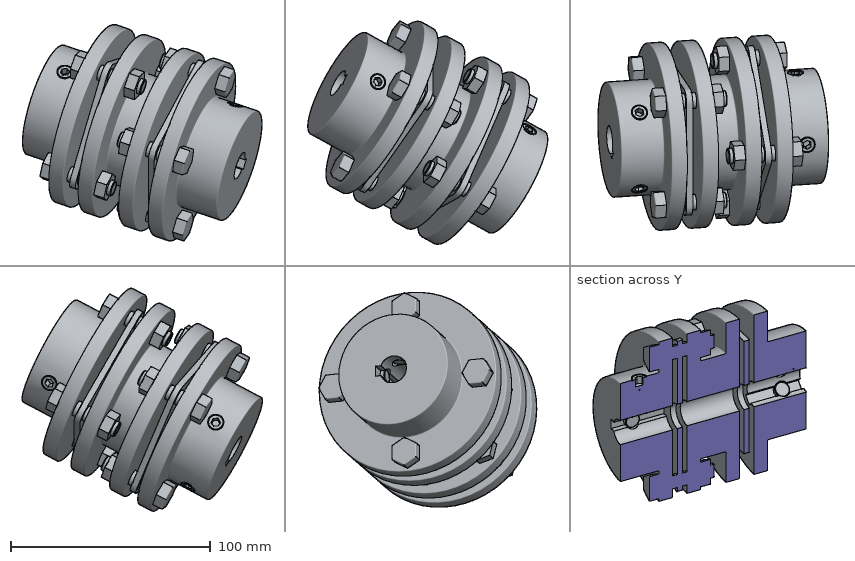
import cadquery as cq
import math

total_length = 106
spacer_length = 30.0
flange_thickness = 8.0
pack_gap = 8.1
half_length = total_length / 2
spacer_end = spacer_length / 2
hub_start = spacer_end + pack_gap
hub_flange_end = hub_start + flange_thickness
pack_center = spacer_end + pack_gap / 2

flange_radius = 94.0 / 2
hub_radius = 28.9
edge_fillet = 0.5
root_fillet = 0.5
bore_radius = 7.0

key_width = 5.2
key_reach = 9.3

bolt_count = 4
bolt_circle_radius = 38.0
bolt_radius = 8.0 / 2
hex_flats = 12.8
hex_height = 5.5
head_fillet = 0.5
bolt_overhang = 2.2
bolt_tip_chamfer = 0.4

pack_thickness = 3.2
pack_corner_radius = 6.3

screw_x = -(half_length + hub_flange_end) / 2
screw_radius = 4.0
screw_sink = 0.3
screw_chamfer = 0.4
socket_flats = 4.0
socket_depth = 4.2

half_pitch = 180 / bolt_count


def hex_prism(across_flats, height):
    """Hexagonal prism rising from Z = 0 with corners on the X axis."""
    corner_diameter = across_flats / math.cos(math.radians(30))
    return cq.Workplane("XY").polygon(6, corner_diameter).extrude(height)


def disc(radius, start, end):
    """Round disc on the X axis between two X positions."""
    return cq.Workplane("YZ", origin=(start, 0, 0)).circle(radius).extrude(end - start)


def flange(start):
    """Flange plate with rounded rim edges."""
    plate = disc(flange_radius, start, start + flange_thickness)
    return plate.edges().fillet(edge_fillet)


def root_ring(face_x, direction):
    """Fillet ring where a barrel meets a flange face; direction points away from the face."""
    toe_x = face_x + direction * root_fillet
    profile = (
        cq.Workplane("XY")
        .moveTo(face_x, hub_radius - root_fillet)
        .lineTo(face_x, hub_radius + root_fillet)
        .radiusArc((toe_x, hub_radius), direction * -root_fillet)
        .lineTo(toe_x, hub_radius - root_fillet)
        .close()
    )
    return profile.revolve(360, (0, 0, 0), (1, 0, 0))


def set_screw():
    """Socket set screw along Z, from the bore wall to just under the hub surface."""
    length = hub_radius - screw_sink - bore_radius
    body = cq.Workplane("XY").circle(screw_radius).extrude(length)
    body = body.faces("<Z or >Z").edges().chamfer(screw_chamfer)
    socket = hex_prism(socket_flats, socket_depth).rotate((0, 0, 0), (0, 0, 1), 90)
    body = body.cut(socket.translate((0, 0, length - socket_depth)))
    return body.translate((screw_x, 0, bore_radius))


def screw_hole():
    """Radial hole along Z from the axis out through the hub."""
    return cq.Workplane("XY", origin=(screw_x, 0, 0)).circle(screw_radius).extrude(2 * hub_radius)


def turn(shape, angle):
    """Rotate a shape about the X axis."""
    return shape.rotate((0, 0, 0), (1, 0, 0), angle)


def hub():
    """Keyed hub at the negative X end, with set screws at +Z and over the keyway at +Y."""
    barrel = disc(hub_radius, -half_length, -hub_start).faces("<X").edges().fillet(edge_fillet)
    body = barrel.union(flange(-hub_flange_end)).union(root_ring(-hub_flange_end, -1))
    body = body.cut(disc(bore_radius, -half_length, -hub_start))
    keyway = cq.Workplane("XY").box(
        half_length - hub_start, key_reach, key_width, centered=(False, False, True)
    )
    body = body.cut(keyway.translate((-half_length, 0, 0)))
    for angle in (0, -90):
        body = body.cut(turn(screw_hole(), angle))
        body = body.union(turn(set_screw(), angle))
    return body


def spacer():
    """Flanged tube in the middle of the coupling."""
    inner_face = spacer_end - flange_thickness
    body = disc(hub_radius, -spacer_end, spacer_end)
    body = body.union(flange(-spacer_end)).union(flange(inner_face))
    body = body.union(root_ring(-inner_face, 1)).union(root_ring(inner_face, -1))
    return body.cut(disc(bore_radius, -spacer_end, spacer_end))


def disc_pack():
    """Square plate with rounded corners centered on the four bolts."""
    side = math.sqrt(2) * bolt_circle_radius + 2 * pack_corner_radius
    plate = cq.Workplane("YZ").rect(side, side).extrude(pack_thickness / 2, both=True)
    plate = plate.edges("|X").fillet(pack_corner_radius)
    plate = plate.cut(disc(bore_radius, -pack_thickness, pack_thickness))
    return turn(plate, 45).translate((-pack_center, 0, 0))


def bolt():
    """Hex bolt and nut clamping the hub flange, disc pack and spacer flange, at +Z."""
    head_seat = -hub_flange_end
    nut_seat = -spacer_end + flange_thickness
    grip = nut_seat - head_seat
    shank = cq.Workplane("XY").circle(bolt_radius).extrude(grip + hex_height + bolt_overhang)
    shank = shank.faces(">Z").edges().chamfer(bolt_tip_chamfer)
    head = hex_prism(hex_flats, hex_height).faces("<Z").edges().fillet(head_fillet)
    nut = hex_prism(hex_flats, hex_height)
    body = shank.union(head.translate((0, 0, -hex_height))).union(nut.translate((0, 0, grip)))
    body = body.rotate((0, 0, 0), (0, 1, 0), 90)
    return body.translate((head_seat, 0, bolt_circle_radius))


def end_assembly():
    """Hub, disc pack and bolts on the negative X side of the spacer."""
    body = hub().union(disc_pack())
    for index in range(bolt_count):
        body = body.union(turn(bolt(), index * 360 / bolt_count))
    return body


near_end = end_assembly()
far_end = turn(near_end.mirror("YZ"), -half_pitch)
result = spacer().union(near_end).union(far_end)